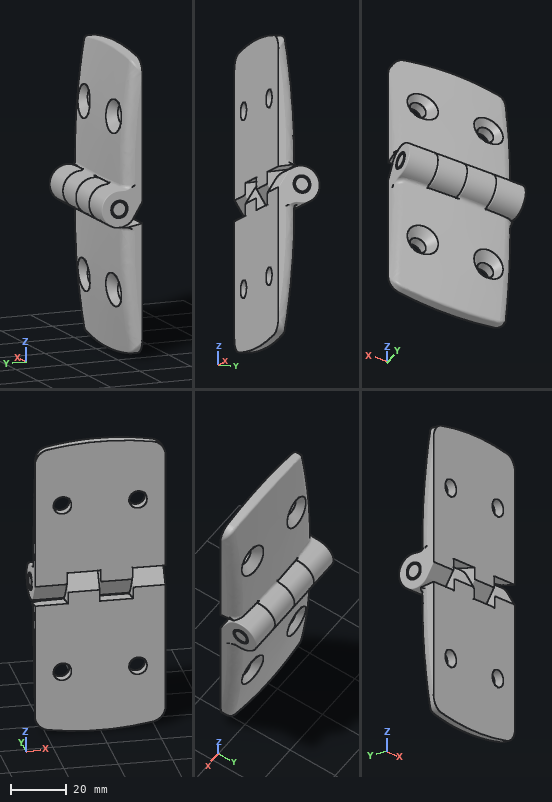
import cadquery as cq
import math

width = 48.0
half_height = 56.5

crown_radius = 248.6
crown_depth = 8.1
crown_z = 11.3
end_bow_radius = 113.0
corner_radius = 5.6
side_round = 4.3
rim_round = 1.0

axis_y = 9.0
knuckle_radius = 6.9
knuckle_gap = 0.3
knuckle_count = 4
knuckle_pitch = width / knuckle_count
knuckle_round = 0.3
finger_end_z = 1.6
neck_round = 1.5
pin_radius = 2.9
pin_chamfer = 0.3

notch_radius = 7.5
notch_z = 6.0

screw_x = 13.9
screw_z = 32.5
screw_radius = 3.3
sink_radius = 6.2


def tangent_point(start_z, radius, side):
    """Point where the line from (Y=0, Z=start_z) touches a circle on the hinge axis; side picks one."""
    distance = math.hypot(axis_y, start_z)
    to_start = math.atan2(start_z, -axis_y)
    angle = to_start + side * math.acos(radius / distance)
    return axis_y + radius * math.cos(angle), radius * math.sin(angle)


def outline_prism():
    """Panel outline with a bowed free end and rounded corners, thicker than the panel."""
    corner_drop = end_bow_radius - math.sqrt(end_bow_radius**2 - (width / 2) ** 2)
    corner_z = half_height - corner_drop
    return (
        cq.Workplane("XZ")
        .moveTo(-width / 2, 0)
        .lineTo(-width / 2, corner_z)
        .threePointArc((0, half_height), (width / 2, corner_z))
        .lineTo(width / 2, 0)
        .close()
        .extrude(-2 * axis_y)
        .edges("|Y and (not <Z)")
        .fillet(corner_radius)
    )


def crowned_slab():
    """Slab with a spherical back and rounded long edges; it reaches below the front face and past the end."""
    sphere = cq.Workplane("XY").sphere(crown_radius).translate((0, crown_depth - crown_radius, crown_z))
    slab = (
        cq.Workplane("XY")
        .box(width, 3 * axis_y, 1.1 * half_height, centered=(True, True, False))
        .intersect(sphere)
    )
    long_edges = cq.selectors.BoxSelector((-width, 0, 1.1), (width, axis_y, half_height))
    return slab.edges(long_edges).edges("%CIRCLE").fillet(side_round)


def panel():
    """Plate of one leaf above its neck, with the back edge of its free end rounded."""
    above_neck = cq.Workplane("XY", origin=(0, 0, knuckle_radius)).box(
        2 * width, 4 * axis_y, half_height, centered=(True, True, False)
    )
    plate = outline_prism().intersect(crowned_slab()).intersect(above_neck)
    rim_zone = cq.selectors.BoxSelector(
        (-width, rim_round / 2, half_height - 1.5 * corner_radius), (width, axis_y, half_height)
    )
    return plate.edges(rim_zone).edges("not |Y").fillet(rim_round)


def teardrop(length):
    """Knuckle centred on X = 0, with its sloping underside and the neck that joins the panel."""
    return (
        cq.Workplane("YZ", origin=(-length / 2, 0, 0))
        .moveTo(0, finger_end_z)
        .lineTo(*tangent_point(finger_end_z, knuckle_radius, 1))
        .threePointArc((axis_y + knuckle_radius, 0), (axis_y, knuckle_radius))
        .lineTo(0, knuckle_radius)
        .close()
        .extrude(length)
    )


def blank_leaf():
    """Panel joined to a full-width teardrop by a concave round.

    The teardrop is first made too long, so that the round runs past the panel's sides, and then trimmed.
    """
    long_body = panel().union(teardrop(width + 4 * neck_round))
    near = neck_round / 10
    neck_zone = cq.selectors.BoxSelector(
        (-width / 2 - near, near, knuckle_radius - near), (width / 2 + near, axis_y - near, knuckle_radius + near)
    )
    body = long_body.edges(neck_zone).fillet(neck_round)
    trim = cq.Workplane("XY").box(width, 4 * axis_y, 4 * half_height)
    return body.intersect(trim)


def notch(x_start, x_end):
    """Room for one knuckle of the other leaf."""
    return (
        cq.Workplane("YZ", origin=(x_start, 0, 0))
        .moveTo(0, notch_z)
        .lineTo(*tangent_point(notch_z, notch_radius, -1))
        .threePointArc((axis_y + notch_radius, 0), (axis_y, -notch_radius))
        .lineTo(0, -notch_radius)
        .close()
        .extrude(x_end - x_start)
    )


def screw_hole(x):
    """Countersunk through hole; the 90 degree cone opens at the back."""
    back_y = crown_depth - (x**2 + (screw_z - crown_z) ** 2) / (2 * crown_radius)
    cone_start_y = back_y - (sink_radius - screw_radius)
    cone_end_radius = screw_radius + axis_y - cone_start_y
    return (
        cq.Workplane("XY", origin=(x, 0, screw_z))
        .lineTo(screw_radius, 0)
        .lineTo(screw_radius, cone_start_y)
        .lineTo(cone_end_radius, axis_y)
        .lineTo(0, axis_y)
        .close()
        .revolve(360, (0, 0, 0), (0, 1, 0))
    )


def axis_cylinder(radius):
    """Cylinder on the hinge axis across the full width."""
    return cq.Workplane("YZ", origin=(-width / 2, axis_y, 0)).circle(radius).extrude(width)


def round_knuckles(body):
    """Round the end edges of the knuckles, around the circle and along the sloping underside."""
    slack = knuckle_round / 2
    underside = cq.selectors.BoxSelector(
        (-width, slack, -knuckle_radius - slack), (width, axis_y + 2 * knuckle_radius, finger_end_z - slack)
    )
    return body.edges(underside).edges("not |X").fillet(knuckle_round)


def leaf():
    """Leaf above the hinge axis; its knuckles are the first and third from -X."""
    body = blank_leaf()
    for index in range(1, knuckle_count, 2):
        x_start = index * knuckle_pitch - width / 2 - knuckle_gap / 2
        body = body.cut(notch(x_start, x_start + knuckle_pitch + knuckle_gap))
    body = round_knuckles(body)
    body = body.cut(axis_cylinder(pin_radius))
    body = body.faces("<X").edges("%CIRCLE").edges(cq.selectors.RadiusNthSelector(0)).chamfer(pin_chamfer)
    for x in (-screw_x, screw_x):
        body = body.cut(screw_hole(x))
    return body


def pin():
    """Hinge pin with chamfered ends."""
    return axis_cylinder(pin_radius).edges().chamfer(pin_chamfer)


upper_leaf = leaf()
lower_leaf = upper_leaf.rotate((0, 0, 0), (0, 1, 0), 180)
hinge_pin = pin()

result = cq.Compound.makeCompound([upper_leaf.val(), lower_leaf.val(), hinge_pin.val()])